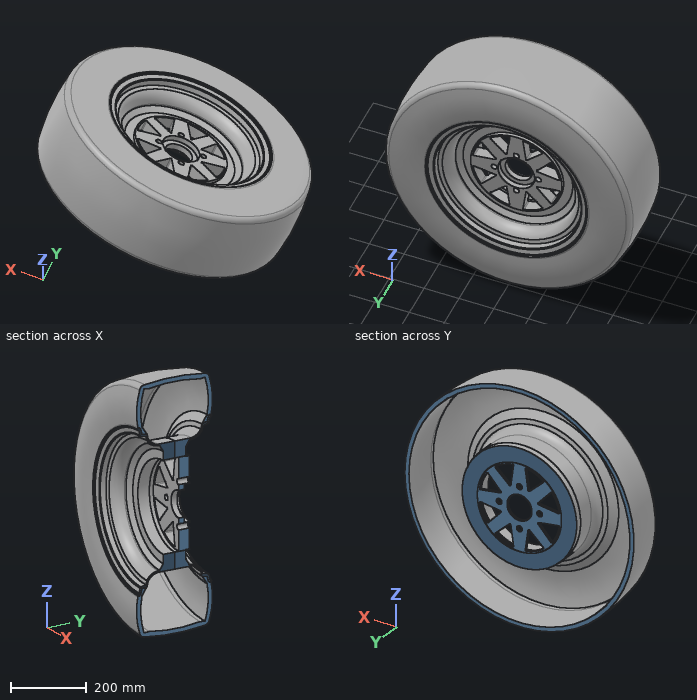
import cadquery as cq
import math


tyre_radius = 360.0
tread_edge = (353.0, 92.0)
corner_mid = (349.0, 102.0)
sidewall_top = (340.0, 107.0)
sidewall_bulge = (288.0, 116.5)
sidewall_foot = (236.0, 113.0)
tyre_wall = 14.5

flange_bore = 131.0
flange_height = 35.0
flange_face_radius = 157.0
sheet = 6.0
barrel_edge = (174.0, 46.0)
bend_start = (174.0, 52.0)
bend_mid = (180.5, 70.5)
bend_end = (196.0, 85.0)
bead_and_lip = [
    (207.0, 88.0),
    (210.0, 103.5),
    (213.0, 106.0),
    (226.5, 109.0),
    (228.0, 111.5),
    (231.5, 114.0),
]

spider_front = 12.0
spider_back = 46.0
hub_bore = 38.0
hub_recess_radius = 52.5
hub_recess_front = 30.0
bolt_circle_radius = 63.0
bolt_hole_radius = 8.0
bolt_count = 4

window_radius = 126.0
wide_spoke_half = 19.0
narrow_spoke_angle = 37.2
window_tip = (28.0, 56.0)
window_corner_radius = 2.0
quarter_turns = [0, 90, 180, 270]


def flip(point):
    """The same section point on the other side of the mid-plane."""
    return (point[0], -point[1])


def inside(point, inward_r, inward_y):
    """A section point moved into the tyre by the given radial and axial steps."""
    return (point[0] - inward_r, point[1] - inward_y)


def offset_path(points, distance):
    """Path parallel to an open polyline, on its right-hand side, with mitred corners."""
    directions = []
    for (r0, y0), (r1, y1) in zip(points, points[1:]):
        directions.append(math.atan2(y1 - y0, r1 - r0))
    before = directions[:1] + directions
    after = directions + directions[-1:]
    path = []
    for (r, y), a, b in zip(points, before, after):
        middle = (a + b) / 2
        reach = distance / math.cos((b - a) / 2)
        path.append((r + reach * math.sin(middle), y - reach * math.cos(middle)))
    return path


def revolve_section(section):
    """Full turn of a closed section about the Y axis."""
    return section.close().revolve(360, (0, 0, 0), (0, 1, 0))


def both_sides(half):
    """A body on the +Y side and its mirror image on the -Y side."""
    return [half.val(), half.mirror("XZ").val()]


sheet_path = [barrel_edge, bend_start, bend_mid, bend_end] + bead_and_lip
(
    barrel_edge_back,
    bend_start_back,
    bend_mid_back,
    bend_end_back,
    *bead_and_lip_back,
) = offset_path(sheet_path, sheet)


def make_tyre():
    """Hollow tyre whose beads sit against the backs of the two rim halves."""
    bead = [bead_and_lip[-1]] + bead_and_lip_back[::-1]
    cavity_foot = inside(sidewall_foot, 0, tyre_wall)
    cavity_bulge = inside(sidewall_bulge, 0, tyre_wall)
    cavity_top = inside(sidewall_top, 0, tyre_wall)
    cavity_edge = inside(tread_edge, tyre_wall, tyre_wall)
    cavity_crown = (tyre_radius - tyre_wall, 0)
    section = (
        cq.Workplane("XY")
        .moveTo(*flip(tread_edge))
        .threePointArc((tyre_radius, 0), tread_edge)
        .threePointArc(corner_mid, sidewall_top)
        .threePointArc(sidewall_bulge, sidewall_foot)
    )
    for point in bead:
        section = section.lineTo(*point)
    section = (
        section.lineTo(*cavity_foot)
        .threePointArc(cavity_bulge, cavity_top)
        .lineTo(*cavity_edge)
        .threePointArc(cavity_crown, flip(cavity_edge))
        .lineTo(*flip(cavity_top))
        .threePointArc(flip(cavity_bulge), flip(cavity_foot))
    )
    for point in reversed(bead):
        section = section.lineTo(*flip(point))
    section = (
        section.lineTo(*flip(sidewall_foot))
        .threePointArc(flip(sidewall_bulge), flip(sidewall_top))
        .threePointArc(flip(corner_mid), flip(tread_edge))
    )
    return revolve_section(section)


def make_rim_half():
    """Half on the +Y side: a thick mounting flange and a sheet barrel bent out to the lip."""
    section = (
        cq.Workplane("XY")
        .moveTo(flange_bore, 0)
        .lineTo(flange_bore, flange_height)
        .lineTo(flange_face_radius, flange_height)
        .lineTo(*barrel_edge)
        .lineTo(*bend_start)
        .threePointArc(bend_mid, bend_end)
    )
    for point in bead_and_lip + bead_and_lip_back[::-1] + [bend_end_back]:
        section = section.lineTo(*point)
    section = (
        section.threePointArc(bend_mid_back, bend_start_back)
        .lineTo(*barrel_edge_back)
        .lineTo(barrel_edge_back[0], 0)
    )
    return revolve_section(section)


def make_spider():
    """Eight-spoked disc with a hub bore, bolt holes and triangular windows."""
    thickness = spider_back - spider_front
    plane = cq.Workplane("XZ", origin=(0, spider_back, 0))
    spider = plane.circle(flange_bore).circle(hub_bore).extrude(thickness)
    bolt_holes = (
        plane.polarArray(bolt_circle_radius, 0, 360, bolt_count)
        .circle(bolt_hole_radius)
        .extrude(thickness)
    )
    hub_recess = plane.circle(hub_recess_radius).extrude(spider_back - hub_recess_front)
    spider = spider.cut(bolt_holes).cut(hub_recess)

    wide_spoke_angle = math.degrees(math.asin(wide_spoke_half / window_radius))

    def on_window_circle(angle_from_z):
        angle = math.radians(angle_from_z)
        return (window_radius * math.sin(angle), window_radius * math.cos(angle))

    window = (
        plane.moveTo(*on_window_circle(wide_spoke_angle))
        .threePointArc(
            on_window_circle((wide_spoke_angle + narrow_spoke_angle) / 2),
            on_window_circle(narrow_spoke_angle),
        )
        .lineTo(*window_tip)
        .close()
        .extrude(thickness)
        .edges("|Y")
        .fillet(window_corner_radius)
    )
    for side in (window, window.mirror("YZ")):
        for turn in quarter_turns:
            spider = spider.cut(side.rotate((0, 0, 0), (0, 1, 0), turn))
    return spider


tyre = make_tyre()
rim_halves = both_sides(make_rim_half())
spider = make_spider()

result = cq.Compound.makeCompound([tyre.val(), *rim_halves, spider.val()])